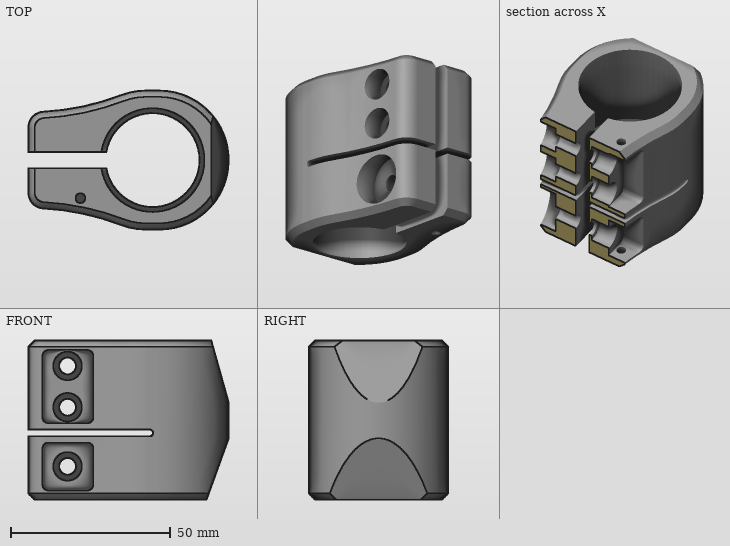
import cadquery as cq
import math

length = 62.85
width = 43.7
height = 50.0
edge_chamfer = 2.0

collar_radius = width / 2
front_arc_x = length - collar_radius
rear_arc_x = 36.95
blend_angle = math.radians(21)
corner_radius = 5.0
corner_center_y = 10.2
corner_end_angle = math.radians(3)

bore_x = 38.95
bore_radius = 16.3
lip_radius = 14.7

gap_width = 5.0
slit_bottom = 20.0
slit_width = 2.0
slit_end_x = 39.1
slit_corner_radius = 0.95

nose_low_z = 19.3
nose_high_z = 30.5
nose_bottom_x = 55.9
nose_top_x = 57.4

screw_x = 12.3
upper_screw_heights = (29.05, 42.0)
lower_screw_height = 10.5
screw_diameter = 5.2
head_diameter = 9.0
head_seat_y = 3.5
upper_nut_diameter = 10.0
lower_nut_diameter = 16.0
nut_seat_y = 10.2

pocket_left = 4.4
pocket_right = 20.4
pocket_floor_y = 10.0
pocket_corner_radius = 2.0
upper_pocket = (24.0, 47.0)
lower_pocket = (2.9, 18.0)

pin_x = 16.35
pin_y = -11.95
pin_diameter = 3.1


def make_body():
    """Chamfered plan outline extruded to full height."""
    blend_x = rear_arc_x - collar_radius * math.sin(blend_angle)
    blend_y = collar_radius * math.cos(blend_angle)
    half_angle = blend_angle / 2
    shoulder_x = rear_arc_x - collar_radius * math.sin(half_angle)
    shoulder_y = collar_radius * math.cos(half_angle)
    arm_x = corner_radius * (1 - math.sin(corner_end_angle))
    arm_y = corner_center_y + corner_radius * math.cos(corner_end_angle)
    corner_mid = corner_radius * math.sqrt(0.5)
    corner_mid_x = corner_radius - corner_mid
    corner_mid_y = corner_center_y + corner_mid
    half = (
        cq.Workplane("XY")
        .moveTo(length, 0)
        .radiusArc((front_arc_x, collar_radius), -collar_radius)
        .lineTo(rear_arc_x, collar_radius)
        .threePointArc((shoulder_x, shoulder_y), (blend_x, blend_y))
        .tangentArcPoint((arm_x, arm_y), relative=False)
        .threePointArc((corner_mid_x, corner_mid_y), (0, corner_center_y))
        .lineTo(0, 0)
        .close()
        .extrude(height)
    )
    body = half.union(half.mirror("XZ"))
    return body.faces("<Z or >Z").edges().chamfer(edge_chamfer)


def cut_nose(body):
    """Keep the part of the body inside the side profile with two sloped nose faces."""
    profile = (
        cq.Workplane("XZ")
        .polyline([
            (0, 0), (nose_bottom_x, 0), (length, nose_low_z),
            (length, nose_high_z), (nose_top_x, height), (0, height),
        ])
        .close()
        .extrude(collar_radius, both=True)
    )
    return body.intersect(profile)


def cylinder_z(x, y, diameter, bottom, top):
    """Vertical cylinder between two heights."""
    return cq.Workplane("XY", origin=(x, y, bottom)).circle(diameter / 2).extrude(top - bottom)


def cylinder_y(z, diameter, start, end):
    """Cylinder on a screw axis, running along Y between two positions."""
    plane = cq.Workplane("XZ", origin=(screw_x, start, z))
    return plane.circle(diameter / 2).extrude(start - end)


def cut_bore(body):
    """Stepped bore and the clamp gap that opens into it."""
    lip = cylinder_z(bore_x, 0, 2 * lip_radius, 0, height)
    bore = cylinder_z(bore_x, 0, 2 * bore_radius, slit_bottom, height)
    gap = cq.Workplane("XY").box(bore_x, gap_width, height, centered=(False, True, False))
    return body.cut(lip).cut(bore).cut(gap)


def cut_slit(body):
    """Horizontal slit across both arms with a rounded inner end."""
    slit = (
        cq.Workplane("XY", origin=(0, 0, slit_bottom))
        .box(slit_end_x, width, slit_width, centered=(False, True, False))
        .edges(">X and |Y")
        .fillet(slit_corner_radius)
    )
    return body.cut(slit)


def cut_pocket(body, bottom, top):
    """Round-cornered pocket open to the -Y side."""
    pocket = (
        cq.Workplane("XY", origin=(pocket_left, -collar_radius, bottom))
        .box(pocket_right - pocket_left, collar_radius - pocket_floor_y, top - bottom, centered=False)
        .edges("|Y")
        .fillet(pocket_corner_radius)
    )
    return body.cut(pocket)


def cut_screw(body, z, nut_diameter):
    """Through hole with a head counterbore on -Y and a nut counterbore on +Y."""
    shank = cylinder_y(z, screw_diameter, -collar_radius, collar_radius)
    head = cylinder_y(z, head_diameter, -pocket_floor_y, -head_seat_y)
    nut = cylinder_y(z, nut_diameter, nut_seat_y, collar_radius)
    return body.cut(shank).cut(head).cut(nut)


result = cut_slit(cut_bore(cut_nose(make_body())))
for pocket_span in (upper_pocket, lower_pocket):
    result = cut_pocket(result, *pocket_span)
for screw_height in upper_screw_heights:
    result = cut_screw(result, screw_height, upper_nut_diameter)
result = cut_screw(result, lower_screw_height, lower_nut_diameter)
pin_spans = ((0, lower_pocket[0]), (upper_pocket[1], height))
for pin_bottom, pin_top in pin_spans:
    result = result.cut(cylinder_z(pin_x, pin_y, pin_diameter, pin_bottom, pin_top))